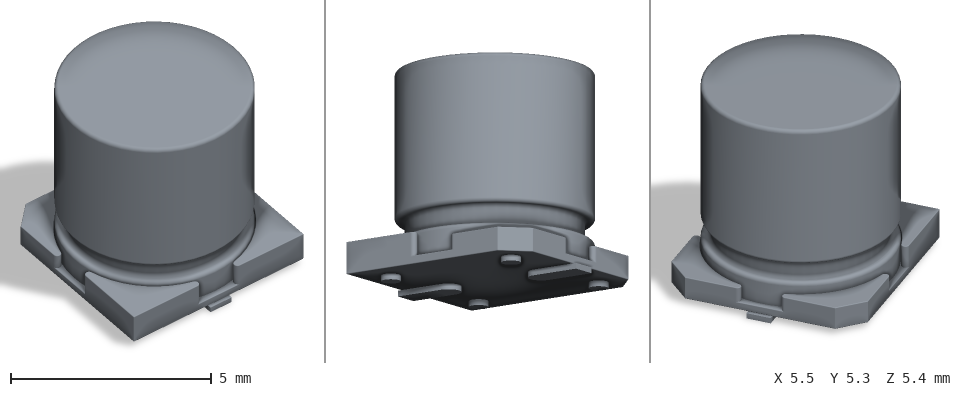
import cadquery as cq
import math

total_height = 5.4
lead_span = 5.5

base_side = 5.3
base_bottom = 0.15
corner_chamfer = 0.625
plate_thickness = 0.21
low_wall_height = 0.61
high_wall_height = 0.82
low_wall_turns = (90, 180)
high_wall_turns = (0, 270)
edge_radius = 0.02
socket_diameter = 5.05
notch_width = 1.11

can_diameter = 5.0
neck_diameter = 4.5
neck_groove_bottom = 1.06
neck_groove_top = 1.59
can_edge_radius = 0.1

lead_width = 0.66
lead_inner_end = 1.1
peg_diameter = 0.5
peg_offset = 1.855

half_side = base_side / 2
socket_radius = socket_diameter / 2
notch_half = notch_width / 2

round_sum = half_side + socket_radius - notch_half
wall_end_radius = round_sum - math.sqrt(round_sum**2 - notch_half**2 - half_side**2 + socket_radius**2)
plate_top = base_bottom + plate_thickness


def base_prism(bottom, top):
    """Square base outline with both -X corners cut off."""
    return (
        cq.Workplane("XY")
        .workplane(offset=bottom)
        .rect(base_side, base_side)
        .extrude(top - bottom)
        .edges("|Z and <X")
        .chamfer(corner_chamfer)
        .edges("|Z")
        .fillet(edge_radius)
    )


def corner_wall(wall_height, turn):
    """Corner wall between two notches, turned about Z from the +X +Y quadrant."""
    bottom = base_bottom + plate_thickness / 2
    top = base_bottom + wall_height
    end_x = notch_half + wall_end_radius
    end_y = half_side - wall_end_radius
    touch = socket_radius / (socket_radius + wall_end_radius)
    socket_mid = socket_radius / math.sqrt(2)
    prism = (
        cq.Workplane("XY")
        .workplane(offset=bottom)
        .moveTo(end_x, half_side)
        .threePointArc((notch_half, end_y), (touch * end_x, touch * end_y))
        .threePointArc((socket_mid, socket_mid), (touch * end_y, touch * end_x))
        .threePointArc((end_y, notch_half), (half_side, end_x))
        .lineTo(half_side, half_side)
        .close()
        .extrude(top - bottom)
        .rotate((0, 0, 0), (0, 0, 1), turn)
    )
    return prism.intersect(base_prism(bottom, top)).faces(">Z").edges().fillet(edge_radius)


def make_base():
    """Base plate with low corner walls on the -X side and high ones on the +X side."""
    base = base_prism(base_bottom, plate_top).faces("<Z or >Z").edges().fillet(edge_radius)
    for turn in low_wall_turns:
        base = base.union(corner_wall(low_wall_height, turn))
    for turn in high_wall_turns:
        base = base.union(corner_wall(high_wall_height, turn))
    return base


def make_can():
    """Round can with a rounded neck groove above its foot."""
    plane = cq.Workplane("XY")
    body = plane.workplane(offset=plate_top).circle(can_diameter / 2).extrude(total_height - plate_top)
    groove = (
        plane.workplane(offset=neck_groove_bottom)
        .circle(can_diameter / 2)
        .circle(neck_diameter / 2)
        .extrude(neck_groove_top - neck_groove_bottom)
    )
    can = body.cut(groove)
    return can.edges("%CIRCLE").edges("not <Z").fillet(can_edge_radius)


def make_lead(side):
    """Flat lead with a square outer end and a full-round inner end."""
    half_width = lead_width / 2
    outer = side * lead_span / 2
    inner = side * lead_inner_end
    round_start = inner + side * half_width
    return (
        cq.Workplane("XY")
        .moveTo(outer, half_width)
        .lineTo(round_start, half_width)
        .threePointArc((inner, 0), (round_start, -half_width))
        .lineTo(outer, -half_width)
        .close()
        .extrude(base_bottom)
    )


def make_pegs():
    """Four round standoff pegs in a square pattern."""
    return (
        cq.Workplane("XY")
        .rect(2 * peg_offset, 2 * peg_offset, forConstruction=True)
        .vertices()
        .circle(peg_diameter / 2)
        .extrude(base_bottom)
    )


result = make_base().union(make_can()).union(make_pegs())
for lead_side in (-1, 1):
    result = result.union(make_lead(lead_side))